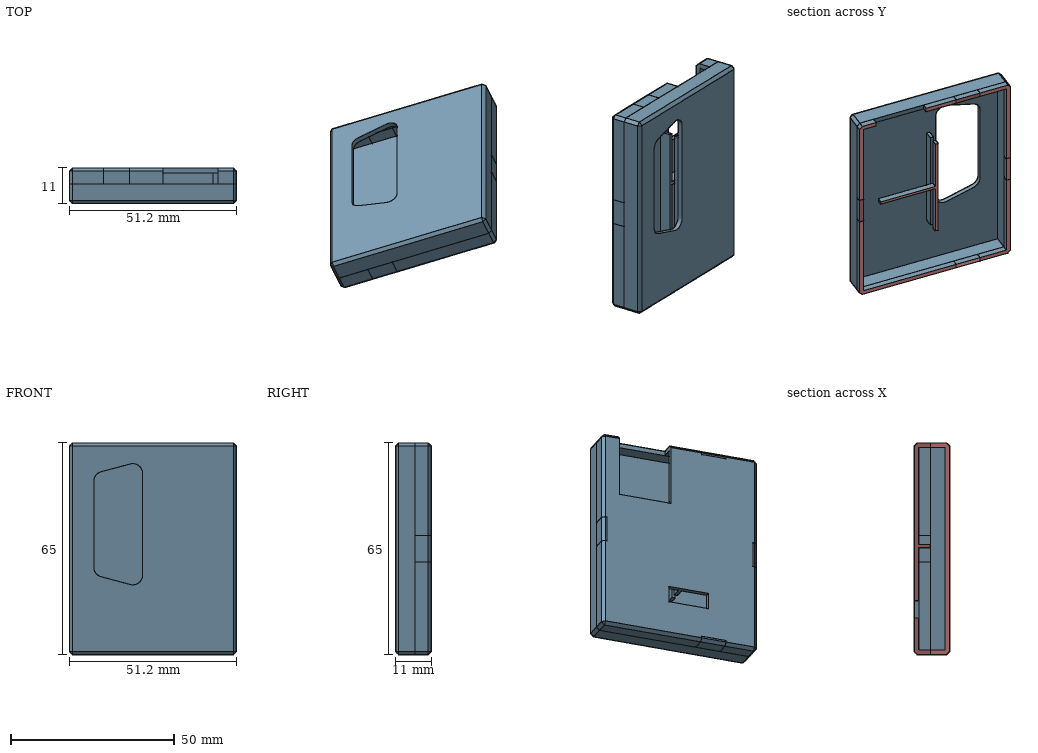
import cadquery as cq
import math

WIDTH = 51.2
DEPTH = 11.0
HEIGHT = 65.0
CHAMFER = 1.0
WALL = 1.5
SPLIT_Y = 6.0
BACK_INNER_Y = DEPTH - WALL

D_LEFT_X = 7.5
D_WIDTH = 14.95
D_CENTER_Z = 40.05
D_HALF_RIGHT = 19.5
D_TAPER_DEG = 15
D_CORNER_R = 3.0

RIB_THICKNESS = 1.05
RIB_LEFT_X = 24.5
RIB_BOTTOM_Z = 16.5
RIB_HEIGHT = 33.6
FRONT_RIB_END_Y = 4.2
CROSS_RIB_END_X = 44.0

NOTCH_LEFT_X = 28.65
NOTCH_WIDTH = 16.9
NOTCH_DROP = 20.0

WINDOW_LEFT_X = 16.25
WINDOW_WIDTH = 13.0
WINDOW_HEIGHT = 5.2

TAB_LENGTH = 8.05
END_TAB_LEFT_X = 10.4
SIDE_TAB_BOTTOM_Z = (HEIGHT - TAB_LENGTH) / 2


def block(x, y, z, dx, dy, dz):
    """Box of size (dx, dy, dz) with its lowest corner at (x, y, z)."""
    return cq.Workplane("XY").box(dx, dy, dz, centered=False).translate((x, y, z))


def outer_block():
    """The closed case: a box with every edge chamfered."""
    return block(0, 0, 0, WIDTH, DEPTH, HEIGHT).edges().chamfer(CHAMFER)


def shell_blank(y_start, y_end):
    """Hollow slice of the case between two Y planes."""
    inside = block(WALL, WALL, WALL, WIDTH - 2 * WALL, DEPTH - 2 * WALL, HEIGHT - 2 * WALL)
    case_slice = block(0, y_start, 0, WIDTH, y_end - y_start, HEIGHT)
    return outer_block().cut(inside).intersect(case_slice)


def d_window():
    """Cutter for the rounded trapezoid window through the front plate."""
    right_x = D_LEFT_X + D_WIDTH
    half_left = D_HALF_RIGHT - D_WIDTH * math.tan(math.radians(D_TAPER_DEG))
    outline = [
        (D_LEFT_X, D_CENTER_Z - half_left),
        (right_x, D_CENTER_Z - D_HALF_RIGHT),
        (right_x, D_CENTER_Z + D_HALF_RIGHT),
        (D_LEFT_X, D_CENTER_Z + half_left),
    ]
    prism = cq.Workplane("XZ").polyline(outline).close().extrude(-WALL)
    return prism.edges("|Y").fillet(D_CORNER_R)


def upright_rib(y_start, y_end):
    """Vertical rib standing on a shell plate."""
    return block(RIB_LEFT_X, y_start, RIB_BOTTOM_Z, RIB_THICKNESS, y_end - y_start, RIB_HEIGHT)


def cross_rib():
    """Horizontal rib running from the middle of the back upright rib toward +X."""
    bottom_z = RIB_BOTTOM_Z + (RIB_HEIGHT - RIB_THICKNESS) / 2
    length = CROSS_RIB_END_X - RIB_LEFT_X
    return block(RIB_LEFT_X, SPLIT_Y, bottom_z, length, BACK_INNER_Y - SPLIT_Y, RIB_THICKNESS)


def tab_spaces():
    """Boxes that the four tabs fill in the top, bottom, left and right walls."""
    tab_depth = DEPTH - SPLIT_Y
    end_tabs = [
        block(END_TAB_LEFT_X, SPLIT_Y, z, TAB_LENGTH, tab_depth, WALL)
        for z in (HEIGHT - WALL, 0)
    ]
    side_tabs = [
        block(x, SPLIT_Y, SIDE_TAB_BOTTOM_Z, WALL, tab_depth, TAB_LENGTH)
        for x in (0, WIDTH - WALL)
    ]
    return end_tabs + side_tabs


def make_front_shell():
    return shell_blank(0, SPLIT_Y).cut(d_window()).union(upright_rib(WALL, FRONT_RIB_END_Y))


def make_back_shell():
    shell = shell_blank(SPLIT_Y, DEPTH)
    shell = shell.union(upright_rib(SPLIT_Y, BACK_INNER_Y)).union(cross_rib())
    notch_z = HEIGHT - NOTCH_DROP
    shell = shell.cut(block(NOTCH_LEFT_X, SPLIT_Y, notch_z, NOTCH_WIDTH, DEPTH - SPLIT_Y, NOTCH_DROP))
    window_z = RIB_BOTTOM_Z - WINDOW_HEIGHT
    shell = shell.cut(block(WINDOW_LEFT_X, BACK_INNER_Y, window_z, WINDOW_WIDTH, WALL, WINDOW_HEIGHT))
    for space in tab_spaces():
        shell = shell.cut(space)
    return shell


def make_tab(space):
    """Tab filling one wall space, following the chamfered outside of the case."""
    return outer_block().intersect(space)


front_shell = make_front_shell()
back_shell = make_back_shell()
tabs = [make_tab(space) for space in tab_spaces()]

result = cq.Compound.makeCompound([front_shell.val(), back_shell.val(), *[tab.val() for tab in tabs]])